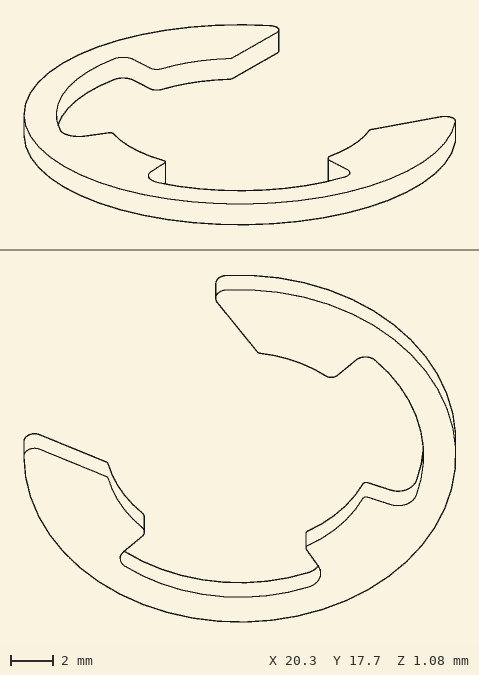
import cadquery as cq
import math

outer_radius = 10.15
recess_radius = 8.64
seat_radius = 6.35
thickness = 1.08

mouth_half_width = 5.18
mouth_flare = 15.0

lug_left_angle = 20.3
lug_right_angle = 18.3

tip_radius = 0.5
mouth_corner_radius = 0.18
jaw_corner_radius = 0.4
recess_corner_radius = 0.6
lug_root_radius = 0.9
lug_corner_radius = 0.18

jaw_left_end = 180.0
jaw_right_end = 360.0
lug_left_side = 270.0 - lug_left_angle
lug_right_side = 270.0 + lug_right_angle

flare_slope = math.tan(math.radians(mouth_flare))
mouth_corner_y = math.sqrt(seat_radius**2 - mouth_half_width**2)
mouth_base_half_width = mouth_half_width - mouth_corner_y * flare_slope
mouth_top_half_width = mouth_base_half_width + outer_radius * flare_slope

flare = math.radians(mouth_flare)
line_offset = mouth_base_half_width * math.cos(flare)
tip_angle = math.acos(line_offset / outer_radius) - flare
tip_x = outer_radius * math.cos(tip_angle)
tip_y = outer_radius * math.sin(tip_angle)


def polar(radius, angle):
    """Point at a radius and an angle in degrees."""
    return (radius * math.cos(math.radians(angle)), radius * math.sin(math.radians(angle)))


def recess(start_angle, end_angle):
    """Sector-shaped cutter between two radial sides."""
    middle_angle = (start_angle + end_angle) / 2
    return (
        cq.Workplane("XY")
        .lineTo(*polar(recess_radius, start_angle))
        .threePointArc(polar(recess_radius, middle_angle), polar(recess_radius, end_angle))
        .close()
        .extrude(thickness)
    )


def mouth():
    """Flared cutter that opens the ring towards +Y."""
    return (
        cq.Workplane("XY")
        .moveTo(-mouth_base_half_width, 0)
        .lineTo(-mouth_top_half_width, outer_radius)
        .lineTo(mouth_top_half_width, outer_radius)
        .lineTo(mouth_base_half_width, 0)
        .close()
        .extrude(thickness)
    )


def round_corners(body, corners, radius):
    """Fillet the upright edges standing at the given XY points."""
    for x, y in corners:
        edge = cq.selectors.NearestToPointSelector((x, y, thickness / 2))
        body = body.edges("|Z").edges(edge).fillet(radius)
    return body


ring = cq.Workplane("XY").circle(outer_radius).circle(seat_radius).extrude(thickness)
ring = ring.cut(recess(jaw_left_end, lug_left_side))
ring = ring.cut(recess(lug_right_side, jaw_right_end))
ring = ring.cut(mouth())

jaw_sides = (jaw_left_end, jaw_right_end)
lug_sides = (lug_left_side, lug_right_side)
jaw_corners = [polar(seat_radius, angle) for angle in jaw_sides]
jaw_roots = [polar(recess_radius, angle) for angle in jaw_sides]
lug_corners = [polar(seat_radius, angle) for angle in lug_sides]
lug_roots = [polar(recess_radius, angle) for angle in lug_sides]
mouth_corners = [(side * mouth_half_width, mouth_corner_y) for side in (-1, 1)]
tips = [(side * tip_x, tip_y) for side in (-1, 1)]

ring = round_corners(ring, tips, tip_radius)
ring = round_corners(ring, mouth_corners, mouth_corner_radius)
ring = round_corners(ring, jaw_corners, jaw_corner_radius)
ring = round_corners(ring, jaw_roots, recess_corner_radius)
ring = round_corners(ring, lug_corners, lug_corner_radius)
ring = round_corners(ring, lug_roots, lug_root_radius)

result = ring